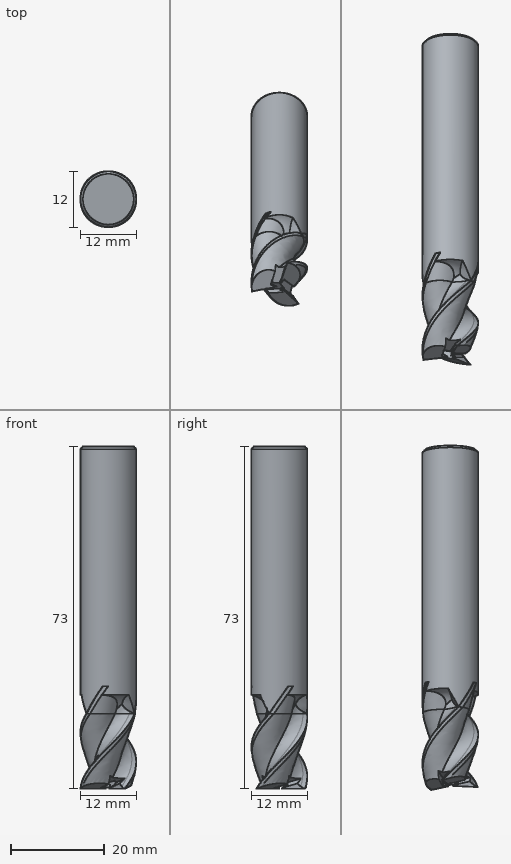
import cadquery as cq
import math

LENGTH = 73.0
RADIUS = 6.0
TOP_CHAMFER = 0.6
CUT_LENGTH = 16.05

TEETH = 3
PITCH_ANGLE = 360.0 / TEETH
TWIST_RATE = 9.589
FIRST_EDGE_ANGLE = 184.6
LAND_ANGLE = 10.0
LAND_RELIEF = 0.15
BACK_ANGLE = 45.0
BACK_RADIUS = 4.5
CORE_ANGLE = 79.0
CORE_RADIUS = 3.15
RAKE_ANGLE = 101.0
RAKE_RADIUS = 3.7
RAKE_END_ANGLE = 114.0
RAKE_END_RADIUS = 5.0

RUNOUT_LENGTH = 4.0
RUNOUT_BULGE = 0.95
LAND_RUNOUT_RATE = 6.849
RAKE_RUNOUT_RATE = -5.479
LAND_RUNOUT_LENGTH = 5.85
LAND_OVERLAP = 1.0
LIMIT_ANGLE = 175.0

END_RELIEF = 18.0
GASH_LEAN = 1.1
GASH_WALL_HEIGHT = 2.05
GASH_HEIGHT = 2.9
GASH_WIDTH = 1.75
GASH_TILT = 15.0
GASH_DROP = 1.1
CLEARANCE = 0.7


def polar(radius, angle):
    """Point in the XY plane at a radius and an angle in degrees."""
    turn = math.radians(angle)
    return radius * math.cos(turn), radius * math.sin(turn)


def flute_section(start_angle):
    """Closed outline of the toothed cross-section with its first edge at start_angle."""
    outline = cq.Workplane("XY").moveTo(*polar(RADIUS, start_angle))
    land_radius = RADIUS - LAND_RELIEF
    for tooth in range(TEETH):
        edge = start_angle + tooth * PITCH_ANGLE
        land_end = polar(land_radius, edge + LAND_ANGLE)
        back = polar(BACK_RADIUS, edge + BACK_ANGLE)
        core = polar(CORE_RADIUS, edge + CORE_ANGLE)
        rake = polar(RAKE_RADIUS, edge + RAKE_ANGLE)
        rake_end = polar(RAKE_END_RADIUS, edge + RAKE_END_ANGLE)
        next_edge = polar(RADIUS, edge + PITCH_ANGLE)
        outline = outline.lineTo(*land_end)
        outline = outline.threePointArc(back, core)
        outline = outline.threePointArc(rake, rake_end).lineTo(*next_edge)
    return outline.close()


def twisted_teeth(start_angle, height, rate):
    """Toothed section extruded along a helix."""
    return flute_section(start_angle).twistExtrude(height, rate * height)


def end_relief(edge_angle):
    """Wedge below the end face that rises behind one end edge."""
    reach = RADIUS + CLEARANCE
    rise = reach * math.tan(math.radians(END_RELIEF))
    wedge = (
        cq.Workplane("YZ")
        .polyline([(0, 0), (reach, rise), (reach, -CLEARANCE), (0, -CLEARANCE)])
        .close()
        .extrude(reach)
    )
    return wedge.rotate((0, 0, 0), (0, 0, 1), edge_angle)


def end_gash(edge_angle):
    """Notch that opens the flute at the tip in front of one end edge."""
    notch = (
        cq.Workplane("YZ")
        .polyline([
            (0, -CLEARANCE),
            (0, GASH_DROP),
            (GASH_LEAN, GASH_WALL_HEIGHT),
            (-GASH_WIDTH, GASH_HEIGHT),
            (-GASH_WIDTH, -CLEARANCE),
        ])
        .close()
        .extrude(RADIUS + CLEARANCE)
    )
    notch = notch.rotate((0, 0, 0), (0, 1, 0), -GASH_TILT).translate((0, 0, -GASH_DROP))
    return notch.rotate((0, 0, 0), (0, 0, 1), edge_angle)


def make_cutter():
    """Fluted cutting end with relieved end teeth."""
    cutter = twisted_teeth(FIRST_EDGE_ANGLE, CUT_LENGTH, TWIST_RATE)
    for tooth in range(TEETH):
        edge_angle = FIRST_EDGE_ANGLE + tooth * PITCH_ANGLE
        cutter = cutter.cut(end_relief(edge_angle))
        cutter = cutter.cut(end_gash(edge_angle))
    return cutter


def runout_ring():
    """Ring above the cut length whose inner floor curves out to the shank surface."""
    slope_mid = ((CORE_RADIUS + RADIUS - RUNOUT_BULGE) / 2, RUNOUT_LENGTH / 2 + RUNOUT_BULGE)
    return (
        cq.Workplane("XZ")
        .moveTo(CORE_RADIUS - CLEARANCE, 0)
        .lineTo(CORE_RADIUS, 0)
        .threePointArc(slope_mid, (RADIUS, RUNOUT_LENGTH))
        .lineTo(RADIUS + CLEARANCE, RUNOUT_LENGTH)
        .lineTo(RADIUS + CLEARANCE, 0)
        .close()
        .revolve(360, (0, 0, 0), (0, 1, 0))
    )


def twist_up_shank(profile, height, rate):
    """Extrude a profile along a helix, upward from the cut length."""
    return profile.twistExtrude(height, rate * height).translate((0, 0, CUT_LENGTH))


def rake_limit(edge_angle):
    """Sector whose leading wall turns back and so narrows one flute upward."""
    radius = RADIUS + 2 * CLEARANCE
    wall = edge_angle + PITCH_ANGLE
    profile = (
        cq.Workplane("XY")
        .lineTo(*polar(radius, wall - LIMIT_ANGLE))
        .threePointArc(polar(radius, wall - LIMIT_ANGLE / 2), polar(radius, wall))
        .close()
    )
    return twist_up_shank(profile, RUNOUT_LENGTH + CLEARANCE, RAKE_RUNOUT_RATE)


def flute_channel(edge_angle):
    """Twisted channel between the land of one tooth and the rake of the next."""
    outer_radius = RADIUS + CLEARANCE
    land_end = edge_angle + LAND_ANGLE
    next_edge = edge_angle + PITCH_ANGLE
    profile = (
        cq.Workplane("XY")
        .moveTo(*polar(outer_radius, land_end))
        .lineTo(*polar(RADIUS - LAND_RELIEF, land_end))
        .threePointArc(polar(BACK_RADIUS, edge_angle + BACK_ANGLE), polar(CORE_RADIUS, edge_angle + CORE_ANGLE))
        .threePointArc(
            polar(RAKE_RADIUS, edge_angle + RAKE_ANGLE),
            polar(RAKE_END_RADIUS, edge_angle + RAKE_END_ANGLE),
        )
        .lineTo(*polar(RADIUS, next_edge))
        .lineTo(*polar(outer_radius, next_edge))
        .threePointArc(polar(outer_radius, (land_end + next_edge) / 2), polar(outer_radius, land_end))
        .close()
    )
    return twist_up_shank(profile, RUNOUT_LENGTH + CLEARANCE, LAND_RUNOUT_RATE)


def land_strip(edge_angle):
    """Thin relieved strip that carries one land up the shank."""
    floor_radius = RADIUS - LAND_RELIEF
    outer_radius = RADIUS + CLEARANCE
    strip_end = edge_angle + LAND_ANGLE + LAND_OVERLAP
    profile = (
        cq.Workplane("XY")
        .moveTo(*polar(floor_radius, edge_angle))
        .lineTo(*polar(floor_radius, strip_end))
        .lineTo(*polar(outer_radius, strip_end))
        .lineTo(*polar(outer_radius, edge_angle))
        .close()
    )
    return twist_up_shank(profile, LAND_RUNOUT_LENGTH, LAND_RUNOUT_RATE)


def make_shank():
    """Round shank with a chamfered end and the flute run-outs."""
    shank = cq.Workplane("XY").workplane(offset=CUT_LENGTH).circle(RADIUS).extrude(LENGTH - CUT_LENGTH)
    shank = shank.faces(">Z").chamfer(TOP_CHAMFER)
    start_angle = FIRST_EDGE_ANGLE + TWIST_RATE * CUT_LENGTH
    ring = runout_ring().translate((0, 0, CUT_LENGTH))
    for tooth in range(TEETH):
        edge_angle = start_angle + tooth * PITCH_ANGLE
        runout = flute_channel(edge_angle).intersect(rake_limit(edge_angle)).intersect(ring)
        shank = shank.cut(runout).cut(land_strip(edge_angle))
    return shank


cutter = make_cutter()
shank = make_shank()
result = cq.Compound.makeCompound([cutter.val(), shank.val()])